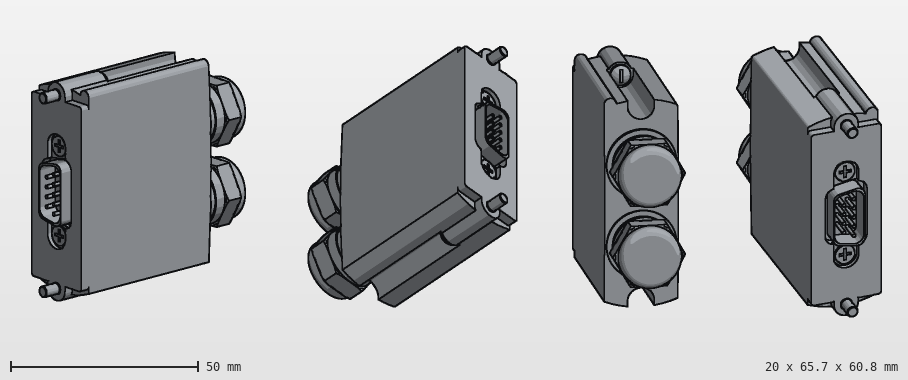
import cadquery as cq
import math

half_width = 10.0
crown_apex = 28.8
crown_edge = 26.8
corner_radius = 0.85
rear_apex = 46.15
rear_edge = 45.3
flange_thickness = 2.6
flange_half_height = 25.8
flange_corner_radius = 0.9

rail_radius = 1.7
rail_x = half_width - rail_radius
rail_z = 27.8
rail_top = rail_z + rail_radius

jack_z = 27.0
boss_radius = 3.4
boss_length = 15.1
groove_radius = 3.6
jack_head_diameter = 5.6
jack_head_rim = 16.05
jack_head_end = 17.35
jack_slot_width = 0.7
jack_slot_depth = 0.45
collar_diameter = 3.2
collar_length = 0.25
pin_diameter = 3.0
pin_tip_diameter = 2.6
pin_length = 4.9

d_slope = math.tan(math.radians(10))
recess_depth = 2.6
recess_half_width = 5.9
recess_half_height = 9.0
recess_corner = 2.7
shell_half_width = 4.5
shell_half_height = 8.3
shell_corner = 2.2
cavity_half_width = 4.15
cavity_half_height = 7.7
cavity_corner = 2.5
shell_length = 2.35
cavity_floor = 3.3
contact_diameter = 1.0
contact_length = 2.25
contact_pitch = 2.75
row_spacing = 2.8

pocket_depth = 1.4
fixing_z = 12.5
pocket_radius = 3.55
fixing_diameter = 5.6
fixing_height = 0.5
cross_length = 3.35
cross_width = 0.65
cross_depth = 0.1

gland_z = 11.25
washer_diameter = 19.0
washer_end = 46.6
neck_diameter = 16.0
neck_end = 49.4
body_diameter = 16.9
hex_start = 52.4
hex_end = 57.35
hex_across_flats = 17.0
hex_chamfer = 0.25
gland_end = 60.8
gland_fillet = 2.0
gland_root = 39.45


def extrude_y(draw, y_start, y_end):
    """Extrude the XZ outline made by draw from y_start to y_end."""
    plane = cq.Workplane("XZ", origin=(0, y_start, 0))
    return draw(plane).extrude(y_start - y_end)


def rod(diameter, x, z, y_start, y_end):
    """Round bar along Y."""
    return extrude_y(lambda plane: plane.center(x, z).circle(diameter / 2), y_start, y_end)


def block(width, height, x, z, y_start, y_end):
    """Rectangular bar along Y, centred on (x, z)."""
    return extrude_y(lambda plane: plane.center(x, z).rect(width, height), y_start, y_end)


def u_bar(radius, side, y_start, y_end, z_round, z_flat):
    """Bar with a half-round end on the z_round axis and a square end at z_flat."""
    straight = block(2 * radius, abs(z_flat - z_round), 0, side * (z_round + z_flat) / 2, y_start, y_end)
    return straight.union(rod(2 * radius, 0, side * z_round, y_start, y_end))


def d_bar(half_w, half_h, corner, y_start, y_end):
    """Bar of D-connector section; half_h is the half height at x = 0."""
    rise = half_w * d_slope
    outline = [
        (-half_w, rise - half_h),
        (half_w, -rise - half_h),
        (half_w, half_h + rise),
        (-half_w, half_h - rise),
    ]
    bar = extrude_y(lambda plane: plane.polyline(outline).close(), y_start, y_end)
    return bar.edges("|Y").fillet(corner)


def make_housing():
    def crowned(plane):
        return (
            plane.moveTo(-half_width, -crown_edge)
            .threePointArc((0, -crown_apex), (half_width, -crown_edge))
            .lineTo(half_width, crown_edge)
            .threePointArc((0, crown_apex), (-half_width, crown_edge))
            .close()
        )

    housing = extrude_y(crowned, flange_thickness, rear_apex)
    housing = housing.edges("|Y").edges("<X").edges(">Z").fillet(corner_radius)
    rail = rod(2 * rail_radius, rail_x, rail_z, flange_thickness, rear_apex)
    foot_z = rail_z - rail_radius / 2
    rail_foot = block(2 * rail_radius, rail_radius, rail_x, foot_z, flange_thickness, rear_apex)
    housing = housing.union(rail).union(rail_foot)

    rear_profile = (
        cq.Workplane("YZ", origin=(-half_width, 0, 0))
        .moveTo(0, -crown_apex)
        .lineTo(rear_edge, -crown_apex)
        .threePointArc((rear_apex, 0), (rear_edge, crown_apex))
        .lineTo(rear_edge, rail_top)
        .lineTo(0, rail_top)
        .close()
        .extrude(2 * half_width)
    )
    housing = housing.intersect(rear_profile)

    flange = block(2 * half_width, 2 * flange_half_height, 0, 0, 0, flange_thickness)
    return housing.union(flange.edges("|Y").fillet(flange_corner_radius))


def make_jack_screw(side):
    z = side * jack_z
    head = rod(jack_head_diameter, 0, z, boss_length, jack_head_end)
    dome_height = jack_head_end - jack_head_rim
    dome_radius = ((jack_head_diameter / 2) ** 2 + dome_height**2) / (2 * dome_height)
    dome = cq.Workplane("XY", origin=(0, jack_head_end - dome_radius, z)).sphere(dome_radius)
    head = head.intersect(dome)
    slot = block(jack_slot_width, jack_head_diameter, 0, z, jack_head_end - jack_slot_depth, jack_head_end)
    pin = rod(pin_diameter, 0, z, -pin_length, 0)
    pin = pin.faces("<Y").edges().chamfer((pin_diameter - pin_tip_diameter) / 2)
    return head.cut(slot).union(pin).union(rod(collar_diameter, 0, z, -collar_length, 0))


def add_jacks(part):
    for side in (1, -1):
        boss = u_bar(boss_radius, side, 0, boss_length, jack_z, flange_half_height - flange_corner_radius)
        groove = u_bar(groove_radius, side, boss_length, rear_apex, jack_z, crown_apex)
        part = part.union(boss).cut(groove).union(make_jack_screw(side))
    return part


def make_fixing_screw(z):
    top = pocket_depth - fixing_height
    head = rod(fixing_diameter, 0, z, top, pocket_depth)
    for width, height in ((cross_length, cross_width), (cross_width, cross_length)):
        head = head.cut(block(width, height, 0, z, top, top + cross_depth))
    return head


def add_connector(part):
    part = part.cut(d_bar(recess_half_width, recess_half_height, recess_corner, 0, recess_depth))
    for side in (1, -1):
        part = part.cut(u_bar(pocket_radius, side, 0, pocket_depth, fixing_z, 0))
        part = part.union(make_fixing_screw(side * fixing_z))

    part = part.union(d_bar(shell_half_width, shell_half_height, shell_corner, -shell_length, recess_depth))
    part = part.cut(d_bar(cavity_half_width, cavity_half_height, cavity_corner, -shell_length, cavity_floor))

    for x, count in ((-row_spacing / 2, 4), (row_spacing / 2, 5)):
        for index in range(count):
            z = (index - (count - 1) / 2) * contact_pitch
            part = part.union(rod(contact_diameter, x, z, -contact_length, cavity_floor))
    return part


def make_gland(z):
    hex_corners = hex_across_flats / math.cos(math.pi / 6)
    nut = extrude_y(lambda plane: plane.center(0, z).polygon(6, hex_corners), hex_start, hex_end)
    turned = rod(hex_corners, 0, z, hex_start, hex_end)
    turned = turned.faces("<Y or >Y").edges().chamfer(hex_chamfer, 3 * hex_chamfer)
    cap = rod(body_diameter, 0, z, neck_end, gland_end).faces(">Y").edges().fillet(gland_fillet)
    neck = rod(neck_diameter, 0, z, gland_root, neck_end)
    washer = rod(washer_diameter, 0, z, rear_edge, washer_end)
    return cap.union(neck).union(washer).union(nut.intersect(turned))


result = add_connector(add_jacks(make_housing()))
for gland_side in (1, -1):
    result = result.union(make_gland(gland_side * gland_z))